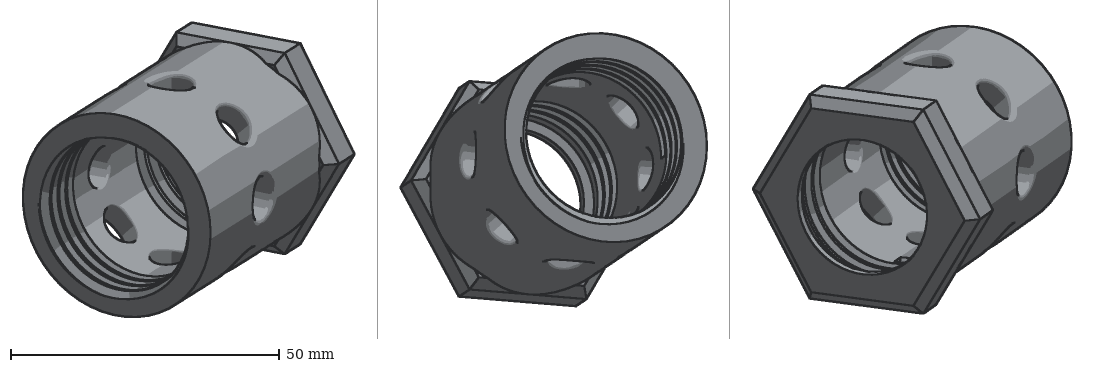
import cadquery as cq
import math

length = 52.0
across_flats = 40.0
body_diameter = across_flats

head_thickness = 10.0
head_chamfer = 2.0

bore_diameter = 30.3
lip_thickness = 2.0
bore_depth = length - lip_thickness
outlet_diameter = 26.3

vent_count = 8
vent_diameter = 8.0
vent_position = 21.0
vent_outer_fillet = 1.0
vent_inner_fillet = 0.5

flank_slope = math.tan(math.pi / 6)
mouth_per_pitch = 3 / 4
root_per_pitch = 1 / 8
thread_overlap = 0.2
mouth_thread_pitch = 3.0
mouth_thread_turns = 4
mouth_thread_start = -1.05
mouth_thread_angle = 0
head_thread_pitch = 4.0
head_thread_turns = 3
head_thread_start = 35.45
head_thread_angle = 90

rim_margin = 0.05


def cylinder(diameter, start, end):
    """Cylinder on the Y axis between two Y positions."""
    plane = cq.Plane(origin=(0, start, 0), xDir=(1, 0, 0), normal=(0, 1, 0))
    return cq.Workplane(plane).circle(diameter / 2).extrude(end - start)


def hexagonal_head():
    across_corners = across_flats / math.cos(math.pi / 6)
    plane = cq.Plane(origin=(0, length, 0), xDir=(1, 0, 0), normal=(0, -1, 0))
    head = cq.Workplane(plane).polygon(6, across_corners).extrude(head_thickness)
    return head.faces("<Y or >Y").chamfer(head_chamfer)


def block_around_vents(radius):
    """Selector for edges wholly inside a block that encloses the vents out to a radius."""
    half_width = radius + rim_margin
    half_length = vent_diameter / 2 + rim_margin
    return cq.selectors.BoxSelector(
        (-half_width, vent_position - half_length, -half_width),
        (half_width, vent_position + half_length, half_width),
        boundingbox=True,
    )


def vented_tube():
    """Tube with a ring of radial holes, rounded at the inner and outer rims."""
    tube = cylinder(body_diameter, 0, length - head_thickness / 2)
    tube = tube.cut(cylinder(bore_diameter, 0, bore_depth))
    vent = (
        cq.Workplane("XY")
        .center(0, vent_position)
        .circle(vent_diameter / 2)
        .extrude(body_diameter)
    )
    for index in range(vent_count):
        angle = index * 360 / vent_count
        tube = tube.cut(vent.rotate((0, 0, 0), (0, 1, 0), angle))
    inner_rims = block_around_vents(bore_diameter / 2)
    outer_rims = block_around_vents(body_diameter / 2) - inner_rims
    tube = tube.edges(outer_rims).edges("not %LINE").fillet(vent_outer_fillet)
    return tube.edges(inner_rims).edges("not %LINE").fillet(vent_inner_fillet)


def thread_groove(pitch, turns, start, start_angle):
    """Trapezoidal helical groove, starting at a Y position and an angle about Y."""
    bore_radius = bore_diameter / 2
    mouth_half = pitch * mouth_per_pitch / 2
    root_half = pitch * root_per_pitch / 2
    root_radius = bore_radius + (mouth_half - root_half) / flank_slope
    inner_radius = bore_radius - thread_overlap
    inner_half = mouth_half + flank_slope * thread_overlap
    helix = cq.Wire.makeHelix(pitch, pitch * turns, bore_radius)
    profile = (
        cq.Workplane("XZ")
        .moveTo(inner_radius, -inner_half)
        .lineTo(root_radius, -root_half)
        .lineTo(root_radius, root_half)
        .lineTo(inner_radius, inner_half)
        .close()
    )
    groove = profile.sweep(cq.Workplane(helix), isFrenet=True)
    groove = groove.rotate((0, 0, 0), (1, 0, 0), -90)
    groove = groove.rotate((0, 0, 0), (0, 1, 0), start_angle)
    return groove.translate((0, start, 0))


body = vented_tube().union(hexagonal_head())
body = body.cut(cylinder(bore_diameter, 0, bore_depth))
body = body.cut(cylinder(outlet_diameter, 0, length))
mouth_groove = thread_groove(
    mouth_thread_pitch, mouth_thread_turns, mouth_thread_start, mouth_thread_angle
)
head_groove = thread_groove(
    head_thread_pitch, head_thread_turns, head_thread_start, head_thread_angle
)
result = body.cut(mouth_groove).cut(head_groove)